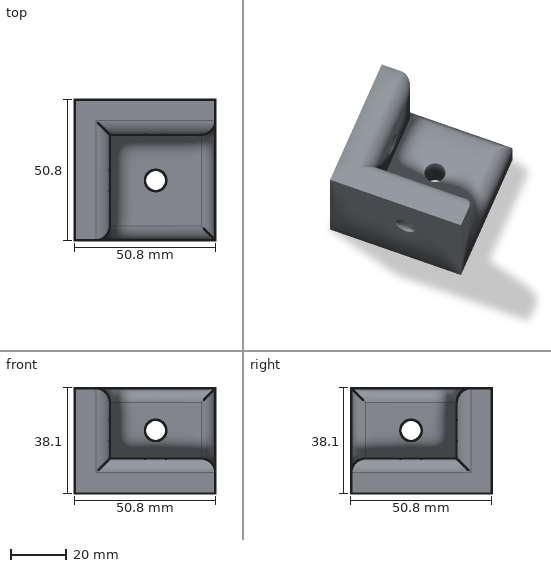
import cadquery as cq

length = 50.8
depth = 50.8
height = 38.1
thickness = 12.7
edge_radius = 5.1
hole_diameter = 7.6

hole_x = (thickness + length - edge_radius) / 2
hole_y = (edge_radius + depth - thickness) / 2
hole_z = (thickness + height - edge_radius) / 2


def rounded_plate(size, origin, free_edges):
    """Box with its lowest corner at origin and the selected free edges rounded."""
    box = cq.Workplane("XY").box(*size, centered=False).translate(origin)
    return box.edges(free_edges).fillet(edge_radius)


def hole(plane, center, drill_length):
    """Cylinder starting at center and running along the normal of the plane."""
    return cq.Workplane(plane, origin=center).circle(hole_diameter / 2).extrude(drill_length)


floor = rounded_plate(
    (length, depth, thickness), (0, 0, 0), "(>Z and <Y) or (>Z and >X)"
)
left_wall = rounded_plate(
    (thickness, depth, height), (0, 0, 0), "(>X and <Y) or (>X and >Z)"
)
back_wall = rounded_plate(
    (length, thickness, height), (0, depth - thickness, 0), "(<Y and >X) or (<Y and >Z)"
)
bracket = floor.union(left_wall).union(back_wall)

floor_hole = hole("XY", (hole_x, hole_y, 0), thickness)
left_hole = hole("YZ", (0, hole_y, hole_z), thickness)
back_hole = hole("XZ", (hole_x, depth, hole_z), thickness)

result = bracket.cut(floor_hole).cut(left_hole).cut(back_hole)